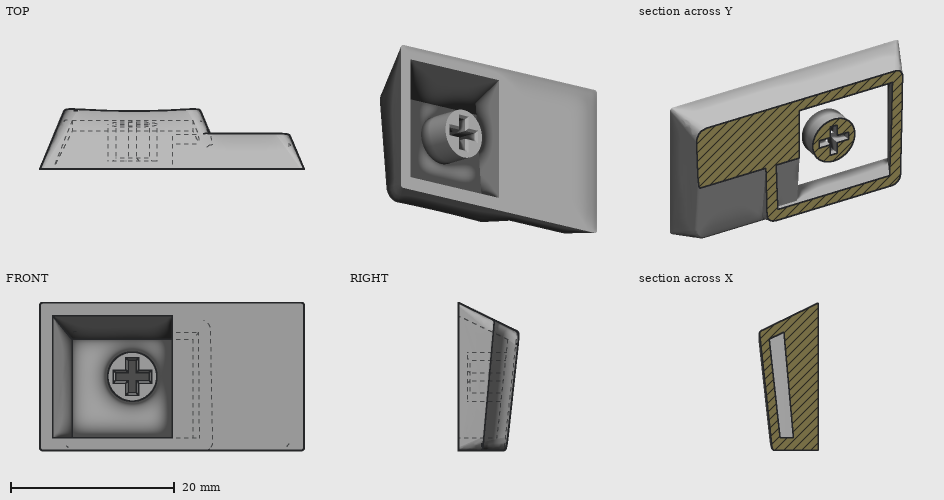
import cadquery as cq
import math

LENGTH = 32.3
HEIGHT = 18.1

POST_X = 11.3
POST_Z = HEIGHT / 2
POST_DIAMETER = 6.0
POST_INSET = 1.05
CROSS_SPAN_X = 4.1
CROSS_SPAN_Z = 3.97
CROSS_WIDTH = 0.97
CROSS_CHAMFER = 0.307

ROOF_LEAN = 0.487
BASE_CORNER = 0.4
TOP_CORNER = 1.75
EDGE_FILLET = 0.4

CREST_Z = 13.65
TILT = 0.11
TOP_DEPTH = 7.4
TOP_INSET = 3.05
STEP_TILT = 0.09
STEP_DEPTH = 4.2
STEP_INSET = 1.8
DISH_SAG = 0.35

WALL = 1.58
POCKET_RIGHT = LENGTH / 2
POCKET_TOP = 16.47
POCKET_ROOF_LEAN = 0.478
FLOOR_DEPTH = 6.0
FLOOR_INSET = 3.95


def depth_at(depth, tilt, z):
    """Depth at height z of a tilted surface that has the given depth at CREST_Z."""
    return depth - tilt * (CREST_Z - z)


def rounded_rectangle(width, height, corner):
    sketch = cq.Sketch().rect(width, height)
    if corner:
        sketch = sketch.vertices().fillet(corner)
    return sketch


def leaning_block(base_x, far_x, bottom, top, roof_lean, depth, tilt, corners=(0, 0)):
    """Block from a rectangle at Y = 0 to a narrower one on a tilted surface."""
    base = rounded_rectangle(base_x[1] - base_x[0], top - bottom, corners[0])
    base = base.moved(cq.Location(cq.Vector(sum(base_x) / 2, (bottom + top) / 2, 0)))

    far_top = (top - roof_lean * depth_at(depth, tilt, 0)) / (1 + roof_lean * tilt)
    middle_z = (bottom + far_top) / 2
    slant_height = (far_top - bottom) * math.hypot(1, tilt)
    far_middle = cq.Vector(sum(far_x) / 2, middle_z, -depth_at(depth, tilt, middle_z))
    tilt_angle = math.degrees(math.atan(tilt))
    far_side = rounded_rectangle(far_x[1] - far_x[0], slant_height, corners[1])
    far_side = far_side.moved(cq.Location(far_middle, cq.Vector(1, 0, 0), -tilt_angle))
    return cq.Workplane("XZ").placeSketch(base, far_side).loft()


def below_surface(depth, tilt, left=0):
    """Prism from X = left to the far end, between Y = 0 and a tilted surface."""
    outline = [
        (0, 0),
        (depth_at(depth, tilt, 0), 0),
        (depth_at(depth, tilt, HEIGHT), HEIGHT),
        (0, HEIGHT),
    ]
    return cq.Workplane("YZ", origin=(left, 0, 0)).polyline(outline).close().extrude(LENGTH - left)


def dish():
    """Cylinder that hollows the typing surface, its axis running along the tilt."""
    half_chord = POST_X - TOP_INSET
    radius = (half_chord**2 + DISH_SAG**2) / (2 * DISH_SAG)
    axis = cq.Vector(0, TILT, 1)
    start = cq.Vector(POST_X, depth_at(TOP_DEPTH, TILT, 0), 0) - axis * HEIGHT
    start += cq.Vector(0, (radius - DISH_SAG) * math.hypot(1, TILT), 0)
    return cq.Workplane(cq.Solid.makeCylinder(radius, 3 * HEIGHT, start, axis))


def outer_body():
    corners = (BASE_CORNER, TOP_CORNER)
    raised_base = (0, 2 * POST_X)
    raised_far = (TOP_INSET, 2 * POST_X - TOP_INSET)
    raised = leaning_block(raised_base, raised_far, 0, HEIGHT, ROOF_LEAN, TOP_DEPTH, TILT, corners)
    raised = raised.cut(dish())
    raised = raised.faces(">Y").edges().fillet(EDGE_FILLET)

    low_base = (0, LENGTH)
    low_far = (STEP_INSET, LENGTH - STEP_INSET)
    low = leaning_block(low_base, low_far, 0, HEIGHT, ROOF_LEAN, STEP_DEPTH, STEP_TILT, corners)
    low = low.faces(">Y").edges().fillet(EDGE_FILLET)
    return raised.union(low)


def pocket():
    """Hollow under the raised part; below the step it stops at the solid half of the part."""
    base_x = (WALL, 2 * POST_X - WALL)
    floor_x = (FLOOR_INSET, 2 * POST_X - FLOOR_INSET)
    hollow = leaning_block(base_x, floor_x, WALL, POCKET_TOP, POCKET_ROOF_LEAN, FLOOR_DEPTH, TILT)
    return hollow.cut(below_surface(STEP_DEPTH, STEP_TILT, POCKET_RIGHT))


def post():
    tip = cq.Workplane("XZ", origin=(POST_X, POST_INSET, POST_Z))
    length = TOP_DEPTH - POST_INSET
    socket = tip.rect(CROSS_SPAN_X, CROSS_WIDTH).extrude(-length)
    socket = socket.union(tip.rect(CROSS_WIDTH, CROSS_SPAN_Z).extrude(-length))
    stem = tip.circle(POST_DIAMETER / 2).extrude(-length).cut(socket)
    stem = stem.faces("<Y").edges("%LINE").chamfer(CROSS_CHAMFER)
    return stem.intersect(below_surface(FLOOR_DEPTH, TILT))


result = outer_body().cut(pocket()).union(post())